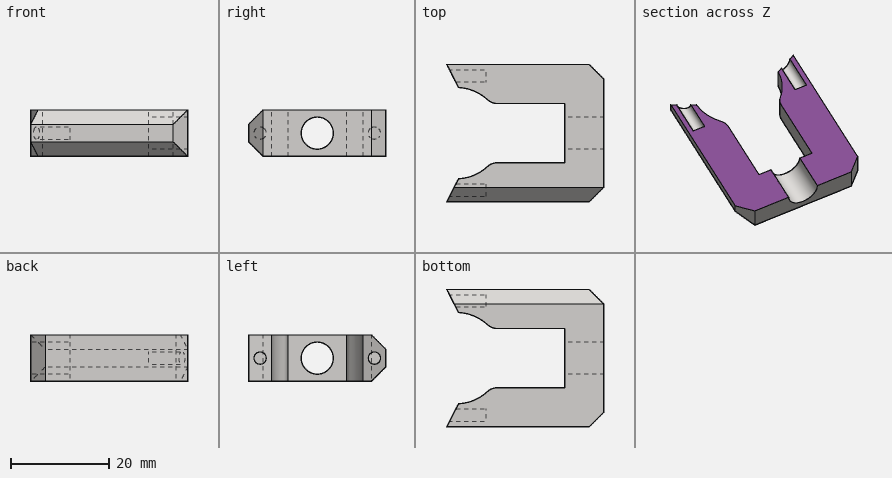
import cadquery as cq
import math

LENGTH = 32.0
WIDTH = 28.0
THICKNESS = 9.5

ARM_THICKNESS = 8.0
BRIDGE_THICKNESS = 8.0

TIP_SETBACK = 2.4
MOUTH_SETBACK = 2.0
MOUTH_RADIUS = 9.28
MOUTH_BLEND_RADIUS = 3.0

BEVEL = 2.98

BRIDGE_HOLE_DIAMETER = 6.5
TIP_HOLE_DIAMETER = 2.5
TIP_HOLE_EDGE_DISTANCE = 2.37
TIP_HOLE_DEPTH = 8.0

x_open = -LENGTH / 2
x_back = LENGTH / 2
x_slot_end = x_back - BRIDGE_THICKNESS
x_tip = x_open + TIP_SETBACK
y_outer = WIDTH / 2
y_slot = y_outer - ARM_THICKNESS
z_top = THICKNESS / 2

x_mouth = x_open + MOUTH_SETBACK
y_tip = math.sqrt(MOUTH_RADIUS**2 - (x_tip - x_mouth) ** 2)

y_blend = y_slot + MOUTH_BLEND_RADIUS
centre_distance = MOUTH_RADIUS + MOUTH_BLEND_RADIUS
x_blend = x_mouth + math.sqrt(centre_distance**2 - y_blend**2)
blend_start_angle = math.atan2(y_blend, x_blend - x_mouth)


def mouth_point(angle):
    """Point on the mouth circle, angle in radians from +X."""
    return (x_mouth + MOUTH_RADIUS * math.cos(angle), MOUTH_RADIUS * math.sin(angle))


def blend_point(angle):
    """Point on the blend circle, angle in radians from +X."""
    return (
        x_blend + MOUTH_BLEND_RADIUS * math.cos(angle),
        y_blend + MOUTH_BLEND_RADIUS * math.sin(angle),
    )


def half_body():
    """The +Y half of the bracket, with its back corner bevelled."""
    mouth_mid_angle = (math.atan2(y_tip, x_tip - x_mouth) + blend_start_angle) / 2
    slot_side_angle = -math.pi / 2
    blend_mid_angle = (blend_start_angle - math.pi + slot_side_angle) / 2
    return (
        cq.Workplane("XY", origin=(0, 0, -z_top))
        .moveTo(x_open, y_outer)
        .lineTo(x_tip, y_tip)
        .threePointArc(mouth_point(mouth_mid_angle), mouth_point(blend_start_angle))
        .threePointArc(blend_point(blend_mid_angle), blend_point(slot_side_angle))
        .lineTo(x_slot_end, y_slot)
        .lineTo(x_slot_end, 0)
        .lineTo(x_back, 0)
        .lineTo(x_back, y_outer - BEVEL)
        .lineTo(x_back - BEVEL, y_outer)
        .close()
        .extrude(THICKNESS)
    )


def long_edge_bevel(side):
    """Wedge that bevels the -Y edge at the top (side = 1) or bottom (side = -1)."""
    return (
        cq.Workplane("YZ", origin=(x_open, 0, 0))
        .moveTo(-y_outer, side * z_top)
        .lineTo(-y_outer + BEVEL, side * z_top)
        .lineTo(-y_outer, side * (z_top - BEVEL))
        .close()
        .extrude(LENGTH)
    )


def hole_along_x(x_start, y, diameter, depth):
    """Cylinder running in +X from x_start at mid height."""
    return cq.Workplane("YZ", origin=(x_start, y, 0)).circle(diameter / 2).extrude(depth)


positive_y_half = half_body()
result = positive_y_half.union(positive_y_half.mirror("XZ"))

for side in (1, -1):
    result = result.cut(long_edge_bevel(side))

result = result.cut(hole_along_x(x_slot_end, 0, BRIDGE_HOLE_DIAMETER, BRIDGE_THICKNESS))

y_tip_hole = y_outer - TIP_HOLE_EDGE_DISTANCE
for y in (y_tip_hole, -y_tip_hole):
    result = result.cut(hole_along_x(x_open, y, TIP_HOLE_DIAMETER, TIP_HOLE_DEPTH))